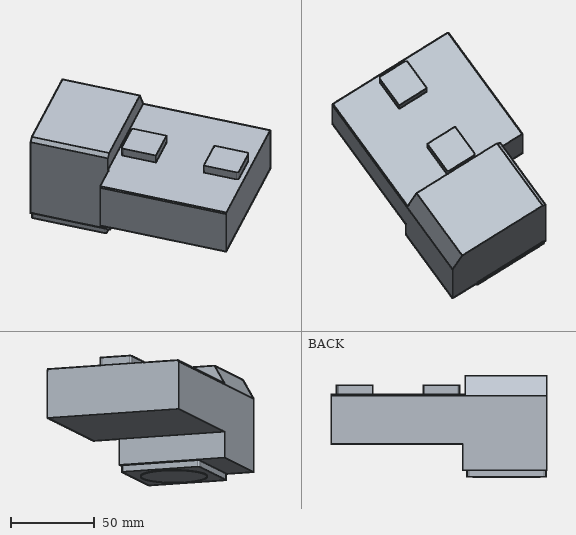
import cadquery as cq

total_length = 129.0
total_width = 84.0
total_height = 61.0
corner_radius = 1.23

head_length = 50.3
head_upper_length = 48.9
head_width = 67.3
head_bottom = 4.3
head_step_height = 49.8
back_bevel_depth = 7.0
back_bevel_height = 12.1
front_bevel = 2.3

slab_left = 49.4
slab_bottom = 20.0
slab_top = 49.8
slab_bevel_depth = 0.5
slab_bevel_height = 0.9

pad_length = 21.8
pad_width = 20.0
pad_height = 5.4
pad_back = 31.6
left_pad_start = 52.1
right_pad_start = 104.1

plate_length = 47.3
plate_width = 49.8
plate_center_x = 24.1
plate_center_y = -42.0
disc_diameter = 40.0
disc_thickness = 0.4


def make_head():
    """Extrude the bevelled side profile along X and cut the shallow step."""
    profile = [
        (0, head_bottom),
        (0, total_height - back_bevel_height),
        (-back_bevel_depth, total_height),
        (front_bevel - head_width, total_height),
        (-head_width, total_height - front_bevel),
        (-head_width, head_bottom),
    ]
    head = cq.Workplane("YZ").polyline(profile).close().extrude(head_length)
    step = cq.Workplane("XY").box(
        head_length - head_upper_length,
        head_width,
        total_height - head_step_height,
        centered=False,
    )
    return head.cut(step.translate((head_upper_length, -head_width, head_step_height)))


def make_slab():
    """Extrude the slab profile with both long top edges bevelled."""
    profile = [
        (0, slab_bottom),
        (0, slab_top - slab_bevel_height),
        (-slab_bevel_depth, slab_top),
        (slab_bevel_depth - total_width, slab_top),
        (-total_width, slab_top - slab_bevel_height),
        (-total_width, slab_bottom),
    ]
    slab = cq.Workplane("YZ").polyline(profile).close().extrude(total_length - slab_left)
    return slab.translate((slab_left, 0, 0))


def make_pad(start_x, rounded_side):
    """Make a pad whose two vertical edges on the given X side are rounded."""
    pad = cq.Workplane("XY").box(pad_length, pad_width, pad_height, centered=False)
    pad = pad.faces(rounded_side).edges("|Z").fillet(corner_radius)
    return pad.translate((start_x, -pad_back - pad_width, slab_top))


def make_base():
    """Make the rounded plate under the head together with its disc."""
    center = cq.Workplane("XY").center(plate_center_x, plate_center_y)
    disc = center.circle(disc_diameter / 2).extrude(disc_thickness)
    plate = (
        center.workplane(offset=disc_thickness)
        .rect(plate_length, plate_width)
        .extrude(head_bottom - disc_thickness)
        .edges("|Z")
        .fillet(corner_radius)
    )
    return plate.union(disc)


result = (
    make_head()
    .union(make_slab())
    .union(make_pad(left_pad_start, "<X"))
    .union(make_pad(right_pad_start, ">X"))
    .union(make_base())
)